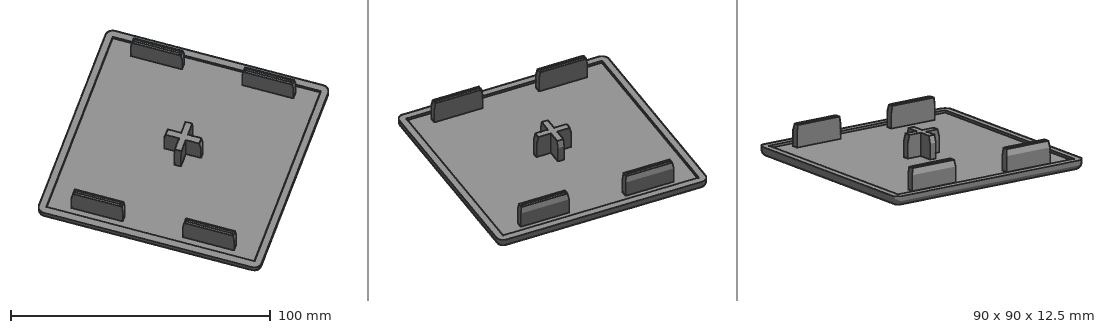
import cadquery as cq

side = 90.0
plate_height = 4.1
edge_radius = 3.0
bottom_radius = 2.96
rim_width = 3.0
recess_depth = 1.0
floor_z = plate_height - recess_depth

total_height = 12.5
taper_height = 3.0
taper_start_z = total_height - taper_height

clip_length = 20.7
clip_thickness = 2.8
clip_spacing = 45.0
clip_edge_gap = 6.0
clip_taper = 0.45
tip_height = 0.4
tip_inset = 0.7

cross_radius = 7.6
cross_top_radius = 6.8
cross_thickness = 2.7


def make_plate():
    plate = cq.Workplane("XY").box(side, side, plate_height, centered=(True, True, False))
    plate = plate.edges("|Z").fillet(edge_radius)
    plate = plate.faces("<Z").edges().fillet(bottom_radius)
    recess_side = side - 2 * rim_width
    recess = cq.Workplane("XY", origin=(0, 0, floor_z)).rect(recess_side, recess_side).extrude(recess_depth)
    return plate.cut(recess)


def loft_block(lower, upper):
    """Loft between two rectangles given as (length, thickness, centre y, z)."""
    lower_length, lower_thickness, lower_y, lower_z = lower
    upper_length, upper_thickness, upper_y, upper_z = upper
    return (
        cq.Workplane("XY", origin=(0, lower_y, lower_z))
        .rect(lower_length, lower_thickness)
        .workplane(offset=upper_z - lower_z)
        .center(0, upper_y - lower_y)
        .rect(upper_length, upper_thickness)
        .loft(ruled=True)
    )


def make_clip():
    """Clip for the back edge: the ends and the outer (+Y) face taper, the inner face stays upright."""
    tip_z = total_height - tip_height
    tapered_length = clip_length - 2 * clip_taper
    tapered_thickness = clip_thickness - clip_taper
    tapered_y = -clip_taper / 2
    base = (clip_length, clip_thickness, 0, floor_z)
    shoulder = (clip_length, clip_thickness, 0, taper_start_z)
    tip = (tapered_length, tapered_thickness, tapered_y, tip_z)
    top = (tapered_length - 2 * tip_inset, tapered_thickness - 2 * tip_inset, tapered_y, total_height)
    return loft_block(base, shoulder).union(loft_block(shoulder, tip)).union(loft_block(tip, top))


def make_cross():
    height = total_height - floor_z
    arm_length = 2 * cross_radius
    floor = cq.Workplane("XY", origin=(0, 0, floor_z))
    arms = floor.rect(arm_length, cross_thickness).extrude(height)
    arms = arms.union(floor.rect(cross_thickness, arm_length).extrude(height))
    envelope = (
        cq.Workplane("XZ")
        .moveTo(0, floor_z)
        .lineTo(-cross_radius, floor_z)
        .lineTo(-cross_radius, taper_start_z)
        .lineTo(-cross_top_radius, total_height)
        .lineTo(0, total_height)
        .close()
        .revolve(360, (0, 0, 0), (0, 1, 0))
    )
    return arms.intersect(envelope)


result = make_plate().union(make_cross())
clip_y = side / 2 - clip_edge_gap - clip_thickness / 2
for clip_x in (-clip_spacing / 2, clip_spacing / 2):
    back_clip = make_clip().translate((clip_x, clip_y, 0))
    result = result.union(back_clip).union(back_clip.mirror("XZ"))